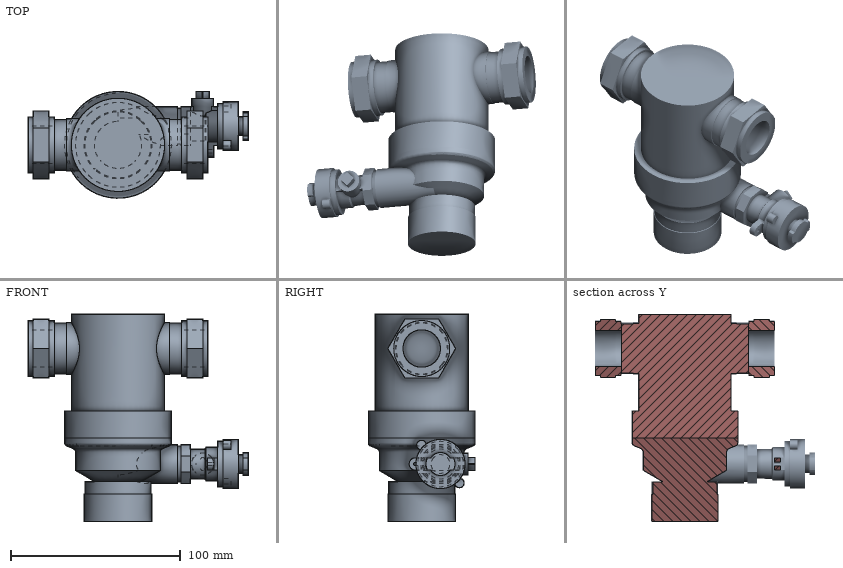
import cadquery as cq
import math

total_height = 122.3
sleeve_top = 16.1
neck_top = 23.5
cone_top = 30.2
waist_top = 41.1
shoulder_top = 46.4
joint_height = 49.1
ring_top = 65.3

sleeve_radius = 40.0 / 2
neck_radius = 39 / 2
cone_bottom_radius = 13.9
waist_radius = 50.0 / 2
ring_radius = 63.0 / 2
barrel_radius = 55.0 / 2

shoulder_slope = math.radians(25)
shoulder_fillet = 2.0

port_height = 102.0
port_root_radius = 31.0 / 2
port_radius = 30.2 / 2
port_root_end = 30.4
port_end = 37.6
nut_hex_start = 40.7
nut_hex_end = 50.0
nut_end = 53.0
nut_collar_radius = 33.0 / 2
nut_across_corners = 40.0
nut_bore_radius = 22.1 / 2

valve_y = 11.0
valve_z = 33.9
spout_radius = 23.0 / 2
spout_end = 35.1

seat_end = 37.0
octagon_end = 42.8
throat_end = 51.2
outlet_start = 52.0
flange_start = 58.8
cap_start = 62.0
cap_end = 71.0
stub_end = 73.7
valve_end = 77.0

seat_radius = 21.3 / 2
octagon_across_flats = 2 * spout_radius
throat_radius = 17.7 / 2
outlet_radius = 19.9 / 2
flange_radius = 26.9 / 2
cap_radius = 29.0 / 2
stub_radius = 11.0 / 2

tab_width = 7.3
rib_reach = octagon_across_flats / 2
ear_start = 52.8
ear_end = 56.5
ear_hole_reach = 14.8
ear_hole_diameter = 2.0

lug_length = 4.5
lug_diameter = 5.6
lug_orbit_radius = 15.9

wing_disc_diameter = 13.5
wing_span = 17.0

stem_x = 49.9
stem_diameter = 13
stem_collar_end = 27.4
stem_end = ring_radius
stem_square_side = 6.0
stem_corner_diameter = 7.9


def x_plane(x, y, z):
    """Sketch plane facing +X with its origin at the given point."""
    return cq.Workplane("YZ", origin=(x, y, z))


def valve_plane(x):
    """Sketch plane facing +X, centred on the valve axis."""
    return x_plane(x, valve_y, valve_z)


def make_housing():
    ring = cq.Workplane().workplane(offset=joint_height).circle(ring_radius).extrude(ring_top - joint_height)
    barrel = cq.Workplane().workplane(offset=ring_top).circle(barrel_radius).extrude(total_height - ring_top)
    ports = x_plane(-port_end, 0, port_height).circle(port_radius).extrude(2 * port_end)
    port_roots = x_plane(-port_root_end, 0, port_height).circle(port_root_radius).extrude(2 * port_root_end)
    return ring.union(barrel).union(ports).union(port_roots)


def make_union_nut():
    collars = x_plane(port_end, 0, port_height).circle(nut_collar_radius).extrude(nut_end - port_end)
    hexagon = (
        x_plane(nut_hex_start, 0, port_height)
        .polygon(6, nut_across_corners)
        .extrude(nut_hex_end - nut_hex_start)
    )
    bore = x_plane(port_end, 0, port_height).circle(nut_bore_radius).extrude(nut_end - port_end)
    return collars.union(hexagon).cut(bore)


def make_bowl():
    turn_rise = shoulder_fillet * math.cos(shoulder_slope)
    turn_inset = shoulder_fillet * (1 - math.sin(shoulder_slope))
    middle = math.pi / 4 + shoulder_slope / 2
    middle_rise = shoulder_fillet * math.cos(middle)
    middle_inset = shoulder_fillet * (1 - math.sin(middle))
    profile = (
        cq.Workplane("XZ")
        .lineTo(sleeve_radius, 0)
        .lineTo(sleeve_radius, sleeve_top)
        .lineTo(neck_radius, sleeve_top)
        .lineTo(neck_radius, neck_top)
        .lineTo(cone_bottom_radius, neck_top)
        .lineTo(waist_radius, cone_top)
        .lineTo(waist_radius, waist_top)
        .threePointArc(
            (waist_radius + middle_inset, waist_top + middle_rise),
            (waist_radius + turn_inset, waist_top + turn_rise),
        )
        .lineTo(ring_radius - turn_inset, shoulder_top - turn_rise)
        .threePointArc(
            (ring_radius - middle_inset, shoulder_top - middle_rise),
            (ring_radius, shoulder_top),
        )
        .lineTo(ring_radius, joint_height)
        .lineTo(0, joint_height)
        .close()
    )
    spout = valve_plane(0).circle(spout_radius).extrude(spout_end)
    return profile.revolve(360, (0, 0, 0), (0, 1, 0)).union(spout)


def make_valve_core():
    """Turned body of the valve, from the spout to the outer stub."""
    return (
        cq.Workplane("XY", origin=(0, valve_y, valve_z))
        .moveTo(spout_end, 0)
        .lineTo(spout_end, seat_radius)
        .lineTo(octagon_end, seat_radius)
        .lineTo(octagon_end, throat_radius)
        .lineTo(throat_end, throat_radius)
        .lineTo(outlet_start, outlet_radius)
        .lineTo(flange_start, outlet_radius)
        .lineTo(flange_start, flange_radius)
        .lineTo(cap_start, flange_radius)
        .lineTo(cap_start, cap_radius)
        .lineTo(cap_end, cap_radius)
        .lineTo(cap_end, stub_radius)
        .lineTo(valve_end, stub_radius)
        .lineTo(valve_end, 0)
        .close()
        .revolve(360, (0, 0, 0), (1, 0, 0))
    )


def make_octagon():
    return (
        valve_plane(seat_end)
        .polygon(8, octagon_across_flats, circumscribed=True)
        .extrude(octagon_end - seat_end)
    )


def make_rib(start, side):
    """Flat rib from the valve axis toward side * Y, ending at the flange."""
    return (
        valve_plane(start)
        .center(side * rib_reach / 2, 0)
        .rect(rib_reach, tab_width)
        .extrude(flange_start - start)
    )


def make_ear():
    """Round-ended ear toward -Y with a small hole."""
    thickness = ear_end - ear_start
    root_plane = valve_plane(ear_start)
    tip_plane = root_plane.center(-ear_hole_reach, 0)
    arm = root_plane.center(-ear_hole_reach / 2, 0).rect(ear_hole_reach, tab_width).extrude(thickness)
    tip = tip_plane.circle(tab_width / 2).extrude(thickness)
    hole = tip_plane.circle(ear_hole_diameter / 2).extrude(thickness)
    return arm.union(tip).cut(hole)


def make_lugs():
    """Two round lugs on opposite diagonals of the cap."""
    return (
        valve_plane(cap_start)
        .polarArray(lug_orbit_radius, 135, 360, 2)
        .circle(lug_diameter / 2)
        .extrude(lug_length)
    )


def make_wings():
    """End disc with two flat-sided wings along Y."""
    thickness = valve_end - stub_end
    disc = valve_plane(stub_end).circle(wing_disc_diameter / 2).extrude(thickness)
    bar = valve_plane(stub_end).rect(wing_span, tab_width).extrude(thickness)
    wings = valve_plane(stub_end).circle(wing_span / 2).extrude(thickness).intersect(bar)
    return disc.union(wings)


def make_stem():
    """Stem toward +Y: round collar with a blunt-cornered square end."""
    stem_plane = cq.Workplane("XZ", origin=(stem_x, valve_y, valve_z))
    collar = stem_plane.circle(stem_diameter / 2).extrude(valve_y - stem_collar_end)
    square = stem_plane.transformed(rotate=(0, 0, 45)).rect(stem_square_side, stem_square_side)
    square_end = square.extrude(valve_y - stem_end)
    corner_limit = stem_plane.circle(stem_corner_diameter / 2).extrude(valve_y - stem_end)
    return collar.union(square_end.intersect(corner_limit))


def make_drain_valve():
    valve = make_valve_core().union(make_octagon())
    valve = valve.union(make_rib(octagon_end, 1)).union(make_rib(ear_start, -1))
    valve = valve.union(make_ear())
    valve = valve.union(make_lugs())
    valve = valve.union(make_wings())
    return valve.union(make_stem())


housing = make_housing()
bowl = make_bowl()
drain_valve = make_drain_valve()
union_nuts = [make_union_nut().rotate((0, 0, 0), (0, 0, 1), turn) for turn in (0, 180)]

result = cq.Compound.makeCompound(
    [housing.val(), bowl.val(), drain_valve.val(), *[nut.val() for nut in union_nuts]]
)